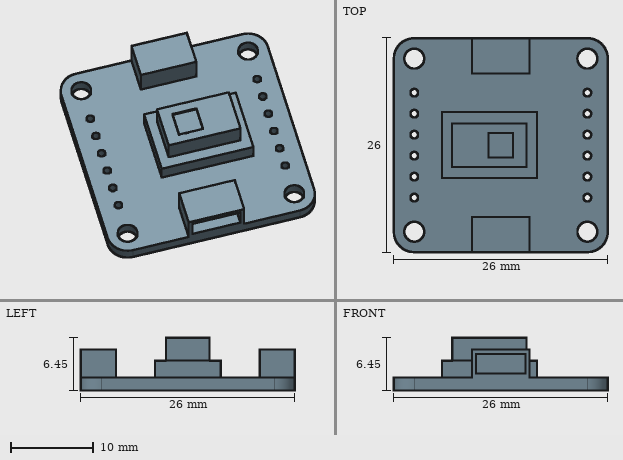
import cadquery as cq

BOARD_SIDE = 26.0
BOARD_THICKNESS = 1.6
CORNER_RADIUS = 2.5
MOUNT_HOLE_DIAMETER = 2.4
HOLE_OFFSET = BOARD_SIDE / 2 - CORNER_RADIUS

PIN_HOLE_DIAMETER = 0.9
PIN_PITCH = 2.55
PINS_PER_ROW = 6

BASE_LENGTH = 11.55
BASE_WIDTH = 8.0
BASE_HEIGHT = 2.05
SENSOR_CENTER_X = -1.38
HOUSING_LENGTH = 9.05
HOUSING_WIDTH = 5.3
TOTAL_HEIGHT = 6.45
WINDOW_SIDE = 3.02
WINDOW_DEPTH = 0.2

CONNECTOR_WIDTH = 7.0
CONNECTOR_DEPTH = 4.3
CONNECTOR_HEIGHT = 3.4
SOCKET_WALL = 0.5
SOCKET_HEIGHT = 2.35
SOCKET_DEPTH = CONNECTOR_DEPTH - SOCKET_WALL


def block(length, width, height, center_x, center_y, bottom):
    """Box placed by the centre of its footprint and the height of its underside."""
    box = cq.Workplane("XY").box(length, width, height, centered=(True, True, False))
    return box.translate((center_x, center_y, bottom))


def make_board():
    board = block(BOARD_SIDE, BOARD_SIDE, BOARD_THICKNESS, 0, 0, 0)
    board = board.edges("|Z").fillet(CORNER_RADIUS)
    board = (
        board.faces(">Z").workplane(origin=(0, 0, 0))
        .rarray(2 * HOLE_OFFSET, 2 * HOLE_OFFSET, 2, 2)
        .hole(MOUNT_HOLE_DIAMETER)
    )
    return (
        board.faces(">Z").workplane(origin=(0, 0, 0))
        .rarray(2 * HOLE_OFFSET, PIN_PITCH, 2, PINS_PER_ROW)
        .hole(PIN_HOLE_DIAMETER)
    )


def make_sensor():
    base_top = BOARD_THICKNESS + BASE_HEIGHT
    base = block(BASE_LENGTH, BASE_WIDTH, BASE_HEIGHT, SENSOR_CENTER_X, 0, BOARD_THICKNESS)
    housing = block(
        HOUSING_LENGTH, HOUSING_WIDTH, TOTAL_HEIGHT - base_top, SENSOR_CENTER_X, 0, base_top
    )
    window = block(WINDOW_SIDE, WINDOW_SIDE, WINDOW_DEPTH, 0, 0, TOTAL_HEIGHT - WINDOW_DEPTH)
    return base.union(housing).cut(window)


def make_front_connector():
    outer_y = -BOARD_SIDE / 2
    body = block(
        CONNECTOR_WIDTH, CONNECTOR_DEPTH, CONNECTOR_HEIGHT,
        0, outer_y + CONNECTOR_DEPTH / 2, BOARD_THICKNESS,
    )
    socket = block(
        CONNECTOR_WIDTH - 2 * SOCKET_WALL, SOCKET_DEPTH, SOCKET_HEIGHT,
        0, outer_y + SOCKET_DEPTH / 2, BOARD_THICKNESS + SOCKET_WALL,
    )
    return body.cut(socket)


front_connector = make_front_connector()
back_connector = front_connector.mirror("XZ")

result = make_board().union(make_sensor()).union(front_connector).union(back_connector)